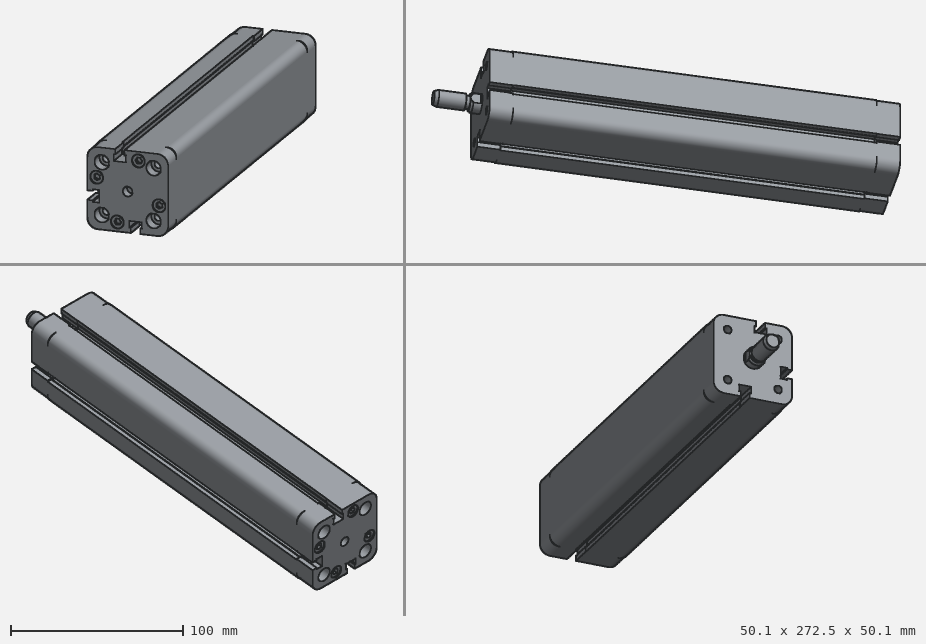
import cadquery as cq

side = 50.1
half_side = side / 2
total_length = 272.5
rod_length = 28.0
cap_length = 14.0
cap_corner_radius = 6.5
barrel_corner_radius = 5.7
housing_length = total_length - rod_length
barrel_length = housing_length - 2 * cap_length

cap_slot_offset = 5.0
barrel_slot_offset = 5.2
slot_lip = 3.3
slot_channel_width = 7.5
cap_slot_mouth = 5.7
cap_slot_depth = 7.4
barrel_slot_mouth = 6.5
barrel_slot_depth = 6.5
slot_angles = [0, 90, 180]

mount_offset = 16.0
mount_diameter = 5.0
mount_bore_diameter = 9.0
mount_bore_depth = 8.2
centre_diameter = 6.0
centre_depth = 6.8

screw_offset = 6.5
screw_radial = 19.3
screw_bore_diameter = 8.0
screw_recess = 0.8
socket_diameter = 4.0
socket_depth = 2.2

thread_diameter = 10.0
tip_diameter = 8.2
tip_chamfer_length = 2.5
thread_length = 18.8
neck_diameter = 8.0
neck_end = 21.3
collar_diameter = 12.0
collar_chamfer_length = 1.5
flats_width = 10.0
flats_shoulder = 0.8


def slot_cutter(y, length, offset, mouth, depth):
    """T-shaped channel in the +Z side, to the left of the centre plane."""
    channel_height = depth - slot_lip
    mouth_cut = cq.Workplane("XY").box(mouth, length, depth, centered=(True, False, False))
    channel_cut = cq.Workplane("XY").box(
        slot_channel_width, length, channel_height, centered=(True, False, False)
    )
    return mouth_cut.union(channel_cut).translate((-offset, y, half_side - depth))


def housing_section(y, length, corner_radius, slot_offset, slot_mouth, slot_depth):
    """Rounded square block with the three sensor slots."""
    block = cq.Workplane("XY").box(side, length, side, centered=(True, False, True))
    section = block.edges("|Y").fillet(corner_radius).translate((0, y, 0))
    cutter = slot_cutter(y, length, slot_offset, slot_mouth, slot_depth)
    for angle in slot_angles:
        section = section.cut(cutter.rotate((0, 0, 0), (0, 1, 0), -angle))
    return section


def cap(y):
    """End cap from y towards +Y."""
    return housing_section(
        y, cap_length, cap_corner_radius, cap_slot_offset, cap_slot_mouth, cap_slot_depth
    )


def cylinder_y(x, z, y, diameter, length):
    """Cylinder along +Y starting at position y."""
    axis = cq.Vector(0, 1, 0)
    return cq.Workplane(cq.Solid.makeCylinder(diameter / 2, length, cq.Vector(x, y, z), axis))


def screw_cutter():
    """Head recess and hexagon socket of the screw in the +Z side."""
    recess = cylinder_y(screw_offset, screw_radial, 0, screw_bore_diameter, screw_recess)
    socket = (
        cq.Workplane("XZ")
        .center(screw_offset, screw_radial)
        .polygon(6, socket_diameter)
        .extrude(-(screw_recess + socket_depth))
    )
    return recess.union(socket)


def piston_rod():
    """Turned rod with threaded end, relief neck and flatted collar."""
    tip = total_length
    profile = [
        (0, tip),
        (tip_diameter / 2, tip),
        (thread_diameter / 2, tip - tip_chamfer_length),
        (thread_diameter / 2, tip - thread_length),
        (neck_diameter / 2, tip - thread_length),
        (neck_diameter / 2, tip - neck_end),
        (thread_diameter / 2, tip - neck_end),
        (collar_diameter / 2, tip - neck_end - collar_chamfer_length),
        (collar_diameter / 2, housing_length),
        (0, housing_length),
    ]
    rod = cq.Workplane("XY").polyline(profile).close().revolve(360, (0, 0, 0), (0, 1, 0))
    flats_start = housing_length + flats_shoulder
    flatted_zone = cq.Workplane("XY").box(
        flats_width, tip - flats_start, collar_diameter, centered=(True, False, True)
    )
    shoulder = cylinder_y(0, 0, housing_length, collar_diameter, flats_shoulder)
    return rod.intersect(flatted_zone.translate((0, flats_start, 0)).union(shoulder))


barrel = housing_section(
    cap_length,
    barrel_length,
    barrel_corner_radius,
    barrel_slot_offset,
    barrel_slot_mouth,
    barrel_slot_depth,
)
result = cap(0)
for section in (barrel, cap(housing_length - cap_length), piston_rod()):
    result = result.union(section, clean=False)

for x in (-mount_offset, mount_offset):
    for z in (-mount_offset, mount_offset):
        result = result.cut(cylinder_y(x, z, 0, mount_diameter, housing_length), clean=False)
        result = result.cut(cylinder_y(x, z, 0, mount_bore_diameter, mount_bore_depth), clean=False)

result = result.cut(cylinder_y(0, 0, 0, centre_diameter, centre_depth), clean=False)

for angle in (0, 90, 180, 270):
    result = result.cut(screw_cutter().rotate((0, 0, 0), (0, 1, 0), angle), clean=False)